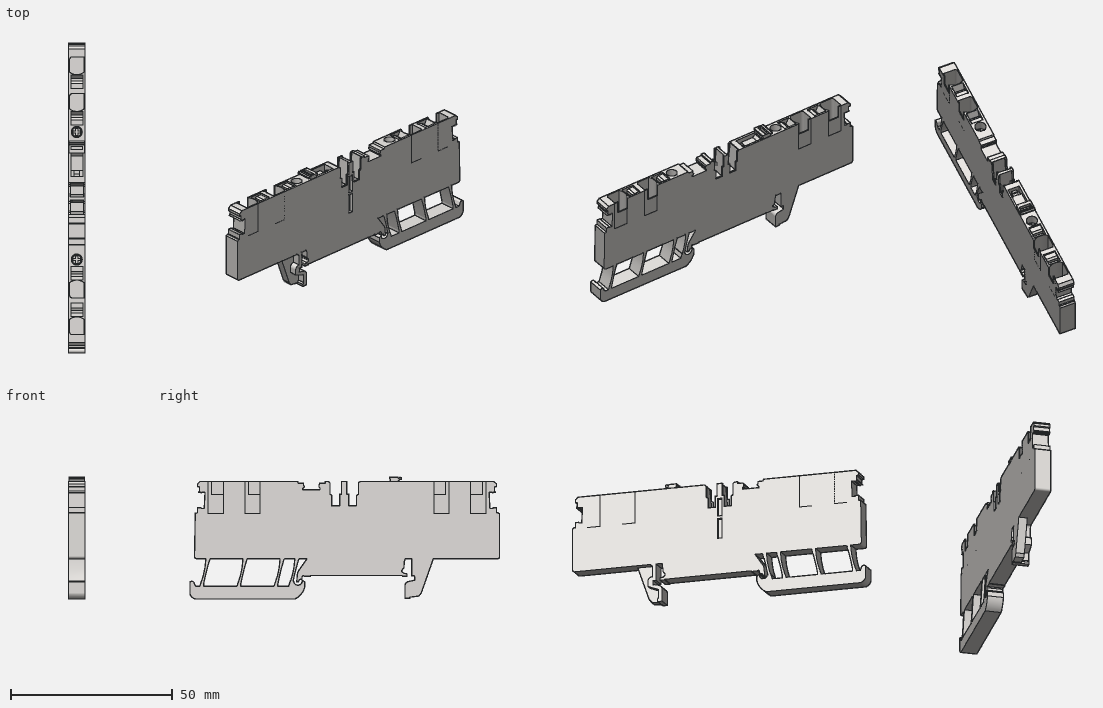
import cadquery as cq

THICKNESS = 5.1
LENGTH = 95.74
HEIGHT = 37.65

BODY_LOW_Y = 1.43
BODY_MID_Y = (BODY_LOW_Y + LENGTH) / 2
BODY_TOP_Z = 36.36
BODY_BOTTOM_Z = 12.4
RAIL_SEAT_Z = 7.2
RAIL_PAD_Z = 7.0
CORNER_RADIUS = 0.75
NOTCH_LIP_Y = 94.81
SHOULDER_Z = 26.65
TOP_CORNER_Z = 35.5
CUT_MARGIN = 1.0

FIN_Y = 47.7
SLOT_FLOOR_Z = 28.88
FIN_TIP_HALF = 0.86
FIN_ROOT_HALF = 1.43
SLOT_OUTER_HALF = 3.77
BAY_HALF = 4.36
SLOT_STEP_Z = 32.4
SLOT_STEP_DROP = 0.4
BAY_CHAMFER_LENGTH = 0.6
BAY_CHAMFER_DROP = 0.45
JUMPER_POCKET_X = (0.55, 4.6)
JUMPER_POCKET_FLOOR_Z = 28.6
JUMPER_POCKET_TOP_REACH = (0.45, 4.85)
JUMPER_POCKET_FLOOR_REACH = (1.2, 3.95)

SIDE_RECESS_DEPTH = 1.2
SIDE_RECESS_WIDTH = 1.45
SIDE_RECESS_SPANS = ((25.92, 31.54), (18.7, 25.1))

ENTRY_OUTER_ENDS = (42.9, 31.55)
ENTRY_STRAIGHT_LENGTH = 4.7
ENTRY_BULGE = 0.8
ENTRY_X = (0.35, 4.8)
ENTRY_DEPTH = 10.0
ENTRY_CORNER_RADIUS = 0.8
ENTRY_SIDE_GAP_DEPTH = 4.0
ENTRY_SIDE_GAP_SETBACK = 1.1
SPRING_OUTER_ENDS = (37.3, 26.0)
SPRING_LENGTH = 4.2
SPRING_X = (0.7, 4.5)
SPRING_DEPTH = 2.0
SPRING_LEDGE_DEPTH = 0.6
SPRING_LEDGE_LENGTH = 1.6
SPRING_RAMP_LENGTH = 0.7
SPRING_BACK_RAMP = 1.1
SCREW_OFFSET = 19.7
SCREW_MOUTH_DIAMETER = 3.4
SCREW_BASE_DIAMETER = 2.8
SCREW_DEPTH = 3.0
CROSS_LENGTH = 2.3
CROSS_WIDTH = 0.7
CROSS_DEPTH = 0.8

LEVER_Y = (61.76, 64.4)
LEVER_X = (0.15, 4.95)
LEVER_ROOT_DEPTH = 1.0
LEVER_GROOVE_Y = (62.9, 63.8)
LEVER_GROOVE_X = (0.75, 4.4)
LEVER_GROOVE_DEPTH = 1.1
LEVER_POCKET_X = (0.8, 4.55)
LEVER_POCKET_Y = (54.55, LEVER_Y[0])
LEVER_POCKET_DEPTH = 1.5
LEVER_RAMP_LENGTH = 0.9
LEVER_CATCH_LENGTH = 1.9
LEVER_CATCH_DEPTH = 3.0
LEVER_CATCH_RIB_WIDTH = 1.8
LEVER_CATCH_RIB_DROP = 0.6
LEVER_CATCH_RIB_LENGTH = 1.2

FOOT_DECK_Z = 4.0
STRUT_TOP_Y = (33.1, 28.55, 17.1, 5.63)
STRUT_LEAN = 1.8
STRUT_TOP_HALF = 0.74
STRUT_WAIST_HALF = 0.35
STRUT_FLARE_HALF = 0.5
STRUT_TOP_FLARE = 0.4
STRUT_BOTTOM_FLARE = 0.75
STRUT_BOTTOM_HALF = 0.75

WEB_X = (2.4, THICKNESS)


def prism(sketch, x_range=(0, THICKNESS)):
    """Extrude a closed YZ wire across the given X range."""
    return sketch.extrude(x_range[1] - x_range[0]).translate((x_range[0], 0, 0))


def block(x_range, y_range, z_range):
    size = [high - low for low, high in (x_range, y_range, z_range)]
    corner = (x_range[0], y_range[0], z_range[0])
    return cq.Workplane("XY").box(*size, centered=False).translate(corner)


def mirrored(y):
    return 2 * BODY_MID_Y - y


def end_notch():
    """Marker notch of the +Y end, listed from the side wall up to the top corner."""
    return [
        (NOTCH_LIP_Y, 28.24),
        (93.7, 28.24),
        (93.6, 28.0),
        (92.75, 28.0),
        (92.5, 32.93),
        (93.4, 32.93),
        (93.55, 32.7),
        (93.75, 32.93),
        (94.5, 32.93),
        (94.2, 33.4),
        (94.2, 34.6),
        (NOTCH_LIP_Y, 34.7),
    ]


def fin_slots():
    """Both jumper slots and the fin, running towards -Y."""
    half_left = [
        (FIN_Y + BAY_HALF, BODY_TOP_Z - BAY_CHAMFER_DROP),
        (FIN_Y + BAY_HALF, SLOT_STEP_Z),
        (FIN_Y + SLOT_OUTER_HALF, SLOT_STEP_Z - SLOT_STEP_DROP),
        (FIN_Y + SLOT_OUTER_HALF, SLOT_FLOOR_Z),
        (FIN_Y + FIN_ROOT_HALF, SLOT_FLOOR_Z),
        (FIN_Y + FIN_ROOT_HALF, SLOT_STEP_Z),
        (FIN_Y + FIN_TIP_HALF, SLOT_STEP_Z),
        (FIN_Y + FIN_TIP_HALF, BODY_TOP_Z),
    ]
    half_right = [(2 * FIN_Y - y, z) for y, z in reversed(half_left)]
    return half_left + half_right


def marker_groove():
    """Dovetailed marker groove in the top face, running towards -Y."""
    return [
        (42.8, BODY_TOP_Z),
        (41.84, BODY_TOP_Z),
        (41.84, 35.8),
        (40.14, 35.8),
        (39.9, 35.3),
        (39.9, 34.6),
        (40.2, 34.3),
        (40.2, 33.79),
        (34.94, 33.79),
        (34.94, 34.2),
        (35.5, 34.7),
        (35.2, 35.1),
        (35.2, 35.8),
        (33.6, 35.8),
        (33.3, BODY_TOP_Z),
    ]


def housing():
    notch = end_notch()
    far_notch = [(mirrored(y), z) for y, z in reversed(notch)]
    low_corner_z = BODY_BOTTOM_Z + CORNER_RADIUS
    outline = (
        cq.Workplane("YZ")
        .moveTo(LENGTH - CORNER_RADIUS, BODY_BOTTOM_Z)
        .radiusArc((LENGTH, low_corner_z), -CORNER_RADIUS)
        .lineTo(LENGTH, 26.3)
        .lineTo(95.25, SHOULDER_Z)
        .lineTo(NOTCH_LIP_Y, SHOULDER_Z)
    )
    for point in notch:
        outline = outline.lineTo(*point)
    outline = outline.lineTo(NOTCH_LIP_Y, TOP_CORNER_Z).lineTo(93.9, BODY_TOP_Z)
    outline = outline.lineTo(FIN_Y + BAY_HALF + BAY_CHAMFER_LENGTH, BODY_TOP_Z)
    for point in fin_slots() + marker_groove():
        outline = outline.lineTo(*point)
    outline = outline.lineTo(3.2, BODY_TOP_Z).lineTo(mirrored(NOTCH_LIP_Y), TOP_CORNER_Z)
    for point in far_notch:
        outline = outline.lineTo(*point)
    outline = (
        outline.lineTo(mirrored(NOTCH_LIP_Y), SHOULDER_Z)
        .lineTo(1.65, 26.5)
        .lineTo(BODY_LOW_Y, low_corner_z)
        .radiusArc((BODY_LOW_Y + CORNER_RADIUS, BODY_BOTTOM_Z), -CORNER_RADIUS)
        .lineTo(36.16, BODY_BOTTOM_Z)
    )
    return prism(rail_side(outline).close())


def rail_side(outline):
    """Continue along the underside: fixed hook, rail seat, catch and sprung clip."""
    return (
        outline.lineTo(33.81, 9.06)
        .threePointArc((33.3, 8.1), (33.15, 7.0))
        .lineTo(33.0, 5.3)
        .lineTo(33.6, 5.3)
        .lineTo(33.9, 6.0)
        .lineTo(34.68, 6.1)
        .lineTo(34.68, 6.9)
        .lineTo(35.0, RAIL_SEAT_Z)
        .lineTo(35.4, RAIL_PAD_Z)
        .lineTo(37.35, RAIL_PAD_Z)
        .lineTo(37.35, RAIL_SEAT_Z)
        .lineTo(65.6, RAIL_SEAT_Z)
        .lineTo(65.7, RAIL_PAD_Z)
        .lineTo(67.12, RAIL_PAD_Z)
        .lineTo(67.12, 7.8)
        .lineTo(66.25, 7.95)
        .lineTo(65.55, 8.4)
        .lineTo(65.55, 8.9)
        .lineTo(66.2, 9.7)
        .lineTo(66.3, 11.6)
        .lineTo(66.58, BODY_BOTTOM_Z)
        .lineTo(68.5, BODY_BOTTOM_Z)
        .lineTo(68.5, 7.15)
        .lineTo(69.4, 7.15)
        .lineTo(69.5, 5.85)
        .lineTo(67.4, 5.4)
        .threePointArc((66.8, 5.0), (66.45, 4.3))
        .lineTo(66.45, 0.22)
        .lineTo(68.0, 0.22)
        .lineTo(68.0, 0.9)
        .lineTo(67.7, 1.5)
        .lineTo(67.7, 4.1)
        .lineTo(71.1, 5.4)
        .lineTo(71.1, 7.2)
        .threePointArc((70.7, 8.0), (69.65, 8.4))
        .lineTo(69.65, 11.2)
        .threePointArc((69.9, 11.95), (70.43, BODY_BOTTOM_Z))
    )


def clip_web():
    """Thinner triangular web stiffening the sprung clip."""
    web = cq.Workplane("YZ").polyline(
        [
            (75.25, BODY_BOTTOM_Z + 0.5),
            (75.25, BODY_BOTTOM_Z),
            (71.55, 1.9),
            (70.75, 0.87),
            (67.6, 0.5),
            (67.2, 4.8),
            (70.2, 5.9),
            (70.2, 7.3),
            (69.2, 7.6),
            (69.2, BODY_BOTTOM_Z + 0.5),
        ]
    )
    return prism(web.close(), WEB_X)


def foot():
    outline = (
        cq.Workplane("YZ")
        .moveTo(35.58, 3.75)
        .lineTo(35.58, 5.3)
        .lineTo(34.7, 5.85)
        .lineTo(34.7, 5.4)
        .threePointArc((33.4, 4.3), (32.1, 5.5))
        .lineTo(31.0, 5.5)
        .lineTo(30.5, FOOT_DECK_Z)
        .lineTo(1.8, FOOT_DECK_Z)
        .lineTo(1.4, 4.9)
        .threePointArc((0.7, 5.5), (0, 5.2))
        .lineTo(0, 1.67)
        .threePointArc((0.6, 0.6), (1.69, 0))
        .lineTo(32.53, 0)
        .threePointArc((34.65, 1.8), (35.58, 3.75))
        .close()
    )
    return prism(outline)


def strut(top_y):
    """Leaning strut between body and foot, waisted at mid height."""
    bottom_y = top_y - STRUT_LEAN
    mid_y = (top_y + bottom_y) / 2
    mid_z = (BODY_BOTTOM_Z + FOOT_DECK_Z) / 2
    upper_z = BODY_BOTTOM_Z - STRUT_TOP_FLARE
    lower_z = FOOT_DECK_Z + STRUT_BOTTOM_FLARE
    outline = (
        cq.Workplane("YZ")
        .moveTo(top_y + STRUT_TOP_HALF, BODY_BOTTOM_Z)
        .lineTo(top_y + STRUT_FLARE_HALF, upper_z)
        .threePointArc((mid_y + STRUT_WAIST_HALF, mid_z), (bottom_y + STRUT_FLARE_HALF, lower_z))
        .lineTo(bottom_y + STRUT_FLARE_HALF, FOOT_DECK_Z)
        .lineTo(bottom_y - STRUT_BOTTOM_HALF, FOOT_DECK_Z)
        .lineTo(bottom_y - STRUT_FLARE_HALF, lower_z)
        .threePointArc((mid_y - STRUT_WAIST_HALF, mid_z), (top_y - STRUT_TOP_HALF, upper_z))
        .lineTo(top_y - STRUT_TOP_HALF, BODY_BOTTOM_Z)
        .close()
    )
    return prism(outline)


def jumper_pocket(side):
    """Wider, tapered inner pocket of one jumper slot; side is +1 or -1 along Y."""
    top_near, top_far = JUMPER_POCKET_TOP_REACH
    floor_near, floor_far = JUMPER_POCKET_FLOOR_REACH
    pocket = cq.Workplane("YZ").polyline(
        [
            (FIN_Y + side * top_far, BODY_TOP_Z),
            (FIN_Y + side * floor_far, JUMPER_POCKET_FLOOR_Z),
            (FIN_Y + side * floor_near, JUMPER_POCKET_FLOOR_Z),
            (FIN_Y + side * top_near, BODY_TOP_Z),
        ]
    )
    return prism(pocket.close(), JUMPER_POCKET_X)


def side_recess(z_span):
    half = SIDE_RECESS_WIDTH / 2
    return block((0, SIDE_RECESS_DEPTH), (FIN_Y - half, FIN_Y + half), z_span)


def wire_entry(outer_end, side):
    """Wire entry with a bulged inner end, and the gap it leaves in the +X wall."""
    outer_y = BODY_MID_Y + side * outer_end
    inner_y = outer_y - side * ENTRY_STRAIGHT_LENGTH
    bulge_y = inner_y - side * ENTRY_BULGE
    low_x, high_x = ENTRY_X
    corner_y = outer_y - side * ENTRY_CORNER_RADIUS
    floor_z = BODY_TOP_Z - ENTRY_DEPTH
    entry = (
        cq.Workplane("XY", origin=(0, 0, floor_z))
        .moveTo(low_x + ENTRY_CORNER_RADIUS, outer_y)
        .lineTo(high_x, outer_y)
        .lineTo(high_x, inner_y)
        .threePointArc(((low_x + high_x) / 2, bulge_y), (low_x, inner_y))
        .lineTo(low_x, corner_y)
        .radiusArc((low_x + ENTRY_CORNER_RADIUS, outer_y), side * ENTRY_CORNER_RADIUS)
        .close()
        .extrude(ENTRY_DEPTH + CUT_MARGIN)
    )
    gap_y = outer_y - side * ENTRY_SIDE_GAP_SETBACK
    gap = block(
        (high_x, THICKNESS),
        (min(gap_y, inner_y), max(gap_y, inner_y)),
        (BODY_TOP_Z - ENTRY_SIDE_GAP_DEPTH, BODY_TOP_Z),
    )
    return entry.union(gap)


def spring_opening(outer_end, side):
    """Spring access opening: steep outer ramp, deep floor, inner ramp and ledge."""
    inner_end = outer_end - SPRING_LENGTH
    ledge_end = inner_end + SPRING_LEDGE_LENGTH
    ledge_z = BODY_TOP_Z - SPRING_LEDGE_DEPTH
    floor_z = BODY_TOP_Z - SPRING_DEPTH
    section = [
        (outer_end, BODY_TOP_Z),
        (outer_end - SPRING_BACK_RAMP, floor_z),
        (ledge_end + SPRING_RAMP_LENGTH, floor_z),
        (ledge_end + SPRING_RAMP_LENGTH, ledge_z - SPRING_RAMP_LENGTH / 2),
        (ledge_end, ledge_z),
        (inner_end, ledge_z),
        (inner_end, BODY_TOP_Z),
    ]
    points = [(BODY_MID_Y + side * offset, z) for offset, z in section]
    return prism(cq.Workplane("YZ").polyline(points).close(), SPRING_X)


def screw_hole(side):
    """Tapered screw hole with a cross recess in its floor."""
    center = (THICKNESS / 2, BODY_MID_Y + side * SCREW_OFFSET, BODY_TOP_Z)
    hole = (
        cq.Workplane("XY", origin=center)
        .circle(SCREW_MOUTH_DIAMETER / 2)
        .workplane(offset=-SCREW_DEPTH)
        .circle(SCREW_BASE_DIAMETER / 2)
        .loft()
    )
    cross_origin = (center[0], center[1], BODY_TOP_Z - SCREW_DEPTH - CROSS_DEPTH)
    cross = cq.Workplane("XY", origin=cross_origin).rect(CROSS_LENGTH, CROSS_WIDTH).extrude(CROSS_DEPTH)
    cross_bar = cross.rotate(cross_origin, (center[0], center[1], BODY_TOP_Z), 90)
    return hole.union(cross).union(cross_bar)


def lever_pocket():
    """Shallow pocket in front of the lever, with a stepped rib between two deep corners."""
    low_y, high_y = LEVER_POCKET_Y
    floor_z = BODY_TOP_Z - LEVER_POCKET_DEPTH
    catch_y = low_y + LEVER_CATCH_LENGTH
    section = cq.Workplane("YZ").polyline(
        [
            (low_y, BODY_TOP_Z),
            (low_y, floor_z),
            (high_y - LEVER_RAMP_LENGTH, floor_z),
            (high_y, floor_z + LEVER_RAMP_LENGTH),
            (high_y, BODY_TOP_Z),
        ]
    )
    pocket = prism(section.close(), LEVER_POCKET_X)
    rib_low = (THICKNESS - LEVER_CATCH_RIB_WIDTH) / 2
    rib_high = (THICKNESS + LEVER_CATCH_RIB_WIDTH) / 2
    catch_z = (BODY_TOP_Z - LEVER_CATCH_DEPTH, floor_z)
    for x_range in ((LEVER_POCKET_X[0], rib_low), (rib_high, LEVER_POCKET_X[1])):
        pocket = pocket.union(block(x_range, (low_y, catch_y), catch_z))
    rib_y = (catch_y - LEVER_CATCH_RIB_LENGTH, catch_y)
    rib_step = block((rib_low, rib_high), rib_y, (floor_z - LEVER_CATCH_RIB_DROP, floor_z))
    return pocket.union(rib_step)


def lever():
    """Lever head standing above the top face, with a hooked lip and a grip groove."""
    low_y, high_y = LEVER_Y
    head = cq.Workplane("YZ").polyline(
        [
            (low_y, BODY_TOP_Z - LEVER_ROOT_DEPTH),
            (low_y, BODY_TOP_Z),
            (low_y + 0.2, 36.8),
            (low_y, 37.2),
            (low_y, HEIGHT),
            (high_y - 0.1, HEIGHT),
            (high_y + 0.1, 37.3),
            (high_y + 0.6, HEIGHT),
            (high_y + 1.05, 37.4),
            (high_y + 1.05, 37.0),
            (high_y + 0.4, 36.9),
            (high_y, BODY_TOP_Z),
            (high_y, BODY_TOP_Z - LEVER_ROOT_DEPTH),
        ]
    )
    groove = block(LEVER_GROOVE_X, LEVER_GROOVE_Y, (HEIGHT - LEVER_GROOVE_DEPTH, HEIGHT))
    return prism(head.close(), LEVER_X).cut(groove)


result = housing().union(clip_web()).union(foot())
for strut_y in STRUT_TOP_Y:
    result = result.union(strut(strut_y))
for direction in (1, -1):
    result = result.cut(jumper_pocket(direction))
    result = result.cut(screw_hole(direction))
    for end in ENTRY_OUTER_ENDS:
        result = result.cut(wire_entry(end, direction))
    for end in SPRING_OUTER_ENDS:
        result = result.cut(spring_opening(end, direction))
for span in SIDE_RECESS_SPANS:
    result = result.cut(side_recess(span))
result = result.cut(lever_pocket()).union(lever())